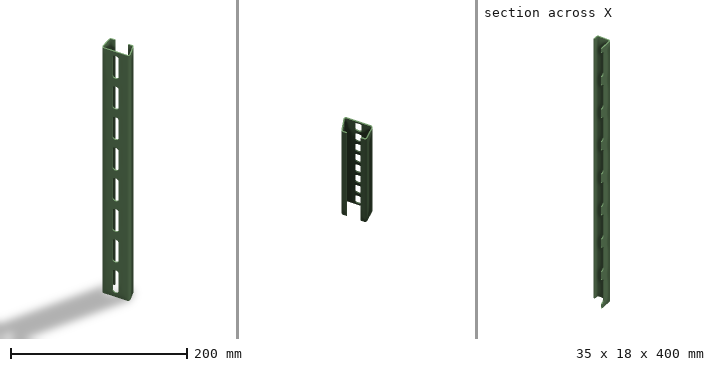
import cadquery as cq
import math

length = 400.0
width = 35.0
depth = 18.0
sheet = 1.5
outer_bend = 3.0
wall_lean = math.radians(8.5)
lip_opening = 17.0

slot_count = 8
slot_pitch = length / slot_count
slot_length = 37.0
slot_width = 8.0

base_y = -depth / 2
lip_y = depth / 2


def wall_x(y, inset):
    """X of a leaning wall face at a given Y; inset is its distance inside the outer face."""
    bend_center_x = width / 2 - outer_bend
    bend_center_y = base_y + outer_bend
    lean_offset = (y - bend_center_y) * math.sin(wall_lean)
    return bend_center_x + (outer_bend - inset - lean_offset) / math.cos(wall_lean)


def rounded_prism(inset):
    """Full-length prism with leaning sides and rounded corners, set in from the outer skin."""
    base_face_y = base_y + inset
    lip_face_y = lip_y - inset
    base_half = wall_x(base_face_y, inset)
    lip_half = wall_x(lip_face_y, inset)
    corners = [
        (-base_half, base_face_y),
        (base_half, base_face_y),
        (lip_half, lip_face_y),
        (-lip_half, lip_face_y),
    ]
    return (
        cq.Workplane("XY", origin=(0, 0, -length / 2))
        .polyline(corners)
        .close()
        .extrude(length)
        .edges("|Z")
        .fillet(outer_bend - inset)
    )


def lip_gap():
    """Open mouth between the two lips."""
    return cq.Workplane("XY", origin=(0, lip_y, 0)).box(lip_opening, 2 * sheet, length)


def base_slots():
    """Row of round-ended slots through the base."""
    return (
        cq.Workplane("XZ", origin=(0, base_y, 0))
        .rarray(4, slot_pitch, 1, slot_count)
        .slot2D(slot_length, slot_width, 90)
        .extrude(2 * sheet, both=True)
    )


tube = rounded_prism(0).cut(rounded_prism(sheet))
result = tube.cut(lip_gap()).cut(base_slots())